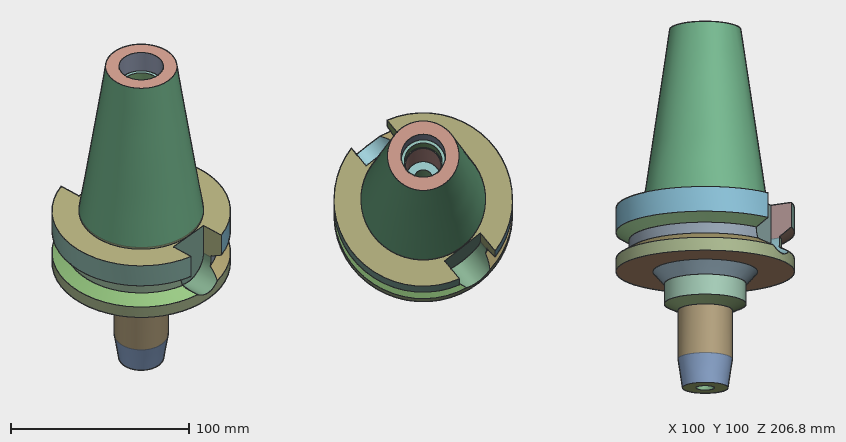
import cadquery as cq

total_height = 206.8
gauge_z = 105.0
flange_top_z = 103.8
flange_bottom_z = 67.0
groove_upper_edge_z = 89.5
groove_floor_top_z = 85.0
groove_floor_bottom_z = 78.8
groove_lower_edge_z = 74.5
collar_top_z = 60.0
collar_chamfer_z = 48.4
collar_bottom_z = 44.7
nose_taper_z = 16.5

flange_radius = 50.0
groove_radius = 42.8
taper_large_radius = 35.0
taper_small_radius = 20.0
neck_radius = 29.4
collar_radius = 23.0
shank_radius = 15.3
nose_tip_radius = 12.8

bore_radius = 5.2
counterbore_radius = 12.5
counterbore_depth = 13.0
pilot_radius = 10.5
pilot_depth = 10.3
thread_radius = 10.0
thread_depth = 31.0

slot_width = 25.6
slot_floor_x = 35.2
slot_bottom_z = 71.3


def make_body():
    """Revolve the outside profile, from the nose tip up to the taper's small end."""
    profile = [
        (0, 0),
        (nose_tip_radius, 0),
        (shank_radius, nose_taper_z),
        (shank_radius, collar_bottom_z),
        (collar_radius, collar_chamfer_z),
        (collar_radius, collar_top_z),
        (neck_radius, flange_bottom_z),
        (flange_radius, flange_bottom_z),
        (flange_radius, groove_lower_edge_z),
        (groove_radius, groove_floor_bottom_z),
        (groove_radius, groove_floor_top_z),
        (flange_radius, groove_upper_edge_z),
        (flange_radius, flange_top_z),
        (taper_large_radius, flange_top_z),
        (taper_large_radius, gauge_z),
        (taper_small_radius, total_height),
        (0, total_height),
    ]
    return cq.Workplane("XZ").polyline(profile).close().revolve(360, (0, 0), (0, 1))


def make_bore():
    """Revolve the through bore with its thread bore, pilot step and counterbore."""
    counterbore_floor_z = total_height - counterbore_depth
    pilot_floor_z = counterbore_floor_z - pilot_depth
    thread_floor_z = pilot_floor_z - thread_depth
    profile = [
        (0, 0),
        (bore_radius, 0),
        (bore_radius, thread_floor_z),
        (thread_radius, thread_floor_z),
        (thread_radius, pilot_floor_z),
        (pilot_radius, pilot_floor_z),
        (pilot_radius, counterbore_floor_z),
        (counterbore_radius, counterbore_floor_z),
        (counterbore_radius, total_height),
        (0, total_height),
    ]
    return cq.Workplane("XZ").polyline(profile).close().revolve(360, (0, 0), (0, 1))


def make_drive_slot(side):
    """Round-bottomed slot open at the flange top; side is +1 or -1 along X."""
    half_width = slot_width / 2
    arc_center_z = slot_bottom_z + half_width
    return (
        cq.Workplane("YZ", origin=(side * slot_floor_x, 0, 0))
        .moveTo(-half_width, gauge_z)
        .lineTo(-half_width, arc_center_z)
        .threePointArc((0, slot_bottom_z), (half_width, arc_center_z))
        .lineTo(half_width, gauge_z)
        .close()
        .extrude(side * flange_radius)
    )


result = make_body().cut(make_bore())
for slot_side in (-1, 1):
    result = result.cut(make_drive_slot(slot_side))